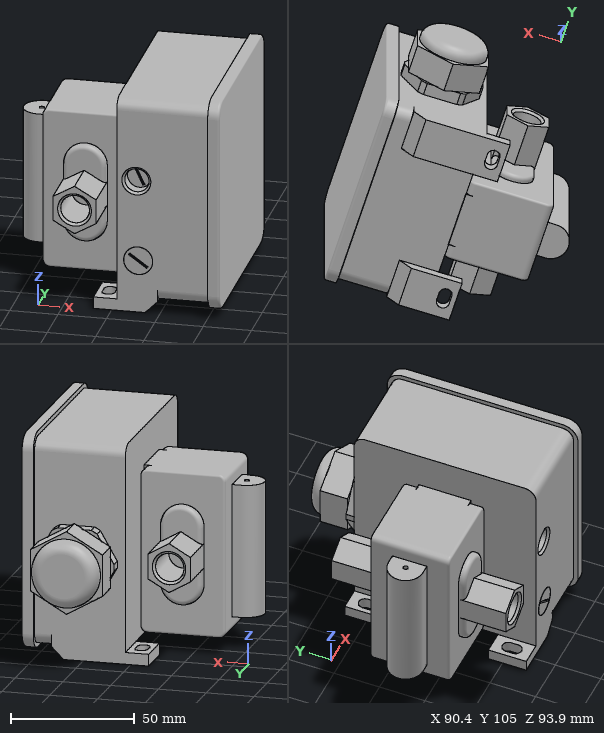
import cadquery as cq
import math


housing_depth = 38.0
housing_width = 80.0
housing_height = 86.9
housing_corner_radius = 5.0
cover_thickness = 5.0
cover_overhang = 2.0
cover_edge_radius = 1.2
side_y = housing_width / 2

foot_reach = 9.8
foot_width = 16.8
foot_thickness = 5.0
near_foot_end = 16.8
far_foot_end = 31.0
foot_slot_width = 5.2
foot_slot_length = 8.4

block_depth = 35.8
block_width = 35.0
block_height = 68.9
block_core_width = 23.0
block_corner_radius = 3.0
block_edge_radius = 1.2
block_axis_z = 36.4

bar_diameter = 15.1
bar_length = 55.6
bar_axis_x = -39.9
bar_hole_diameter = 2.0
bar_hole_depth = 5.2

port_axis_x = -17.8
port_across_flats = 17.8
port_span = 76.8
port_hole_diameter = 11.9
port_mouth_diameter = 14.0
port_hole_depth = 21.0
pad_length = 42.0
pad_height = 3.0
pad_edge_radius = 2.0

adjuster_diameter = 12.0
adjuster_bore_diameter = 10.0
screw_slot_width = 0.8
screw_slot_depth = 1.0
deep_screw_x = 8.1
deep_screw_z = 51.9
deep_screw_depth = 6.0
deep_screw_slot_length = 8.4
deep_screw_angle = -65
flush_screw_x = 8.8
flush_screw_z = 17.3
flush_screw_inset = 0.1
flush_screw_slot_length = 9.1
flush_screw_angle = -35.5

gland_x = 20.0
gland_z = 36.8
gland_across_flats = 30.1
gland_base_height = 5.0
gland_base_diameter = 33.3
gland_nut_height = 12.1
gland_cap_diameter = 28.5
gland_cap_height = 5.9
gland_cap_radius = 4.8


def box(x_range, y_range, z_range):
    """Box between pairs of limits along each axis."""
    limits = (x_range, y_range, z_range)
    sizes = [high - low for low, high in limits]
    corner = tuple(low for low, high in limits)
    return cq.Workplane("XY").box(*sizes, centered=False).translate(corner)


def plane_facing_y(x, y, z, outward):
    """Workplane at a point, facing along Y; its local Y axis is global Z."""
    return cq.Workplane(cq.Plane(origin=(x, y, z), xDir=(-outward, 0, 0), normal=(0, outward, 0)))


def hexagon(across_flats):
    """Diameter through the corners of a hexagon."""
    return across_flats / math.cos(math.radians(30))


def make_housing():
    body = box((0, housing_depth), (-side_y, side_y), (0, housing_height))
    body = body.edges("|X").fillet(housing_corner_radius)
    cover_y = side_y + cover_overhang
    cover = box(
        (housing_depth, housing_depth + cover_thickness),
        (-cover_y, cover_y),
        (-cover_overhang, housing_height + cover_overhang),
    )
    cover = cover.edges("|X").fillet(housing_corner_radius + cover_overhang)
    cover = cover.faces(">X").edges().fillet(cover_edge_radius)
    return body.union(cover)


def make_foot(side, end_x):
    """Foot with a 45 degree rear end; it also squares off the lower housing corner."""
    outer_y = side * side_y
    inner_y = side * (side_y - foot_width)
    profile = [
        (-foot_reach, -foot_thickness),
        (end_x - foot_thickness, -foot_thickness),
        (end_x, 0),
        (end_x, housing_corner_radius),
        (0, housing_corner_radius),
        (0, 0),
        (-foot_reach, 0),
    ]
    foot = cq.Workplane("XZ", origin=(0, max(outer_y, inner_y), 0))
    foot = foot.polyline(profile).close().extrude(foot_width)
    slot = (
        cq.Workplane("XY", origin=(-foot_reach / 2, (outer_y + inner_y) / 2, -foot_thickness))
        .slot2D(foot_slot_length, foot_slot_width, 90)
        .extrude(foot_thickness)
    )
    return foot.cut(slot)


def make_block():
    half_height = block_height / 2
    x_range = (-block_depth, 0)
    z_range = (block_axis_z - half_height, block_axis_z + half_height)
    shell = box(x_range, (-block_width / 2, block_width / 2), z_range)
    shell = shell.edges("|Y").fillet(block_corner_radius)
    shell = shell.faces("<Y or >Y").edges().fillet(block_edge_radius)
    core = box(x_range, (-block_core_width / 2, block_core_width / 2), z_range)
    core = core.edges("|Y and <X").fillet(block_corner_radius)
    return shell.union(core)


def make_bar():
    bottom_z = block_axis_z - bar_length / 2
    radius = bar_diameter / 2
    base = cq.Workplane("XY", origin=(bar_axis_x, 0, bottom_z))
    web = box((bar_axis_x, -block_depth), (-radius, radius), (bottom_z, bottom_z + bar_length))
    hole = base.workplane(offset=bar_length).circle(bar_hole_diameter / 2).extrude(-bar_hole_depth)
    return base.circle(radius).extrude(bar_length).union(web).cut(hole)


def make_port(side):
    """Oval pad with a hexagonal fitting standing on it."""
    wall_y = side * block_width / 2
    pad = plane_facing_y(port_axis_x, wall_y, block_axis_z, side)
    pad = pad.slot2D(pad_length, port_across_flats, 90).extrude(pad_height)
    pad = pad.faces(">Y" if side > 0 else "<Y").edges().fillet(pad_edge_radius)
    fitting = plane_facing_y(port_axis_x, wall_y, block_axis_z, side)
    fitting = fitting.transformed(rotate=(0, 0, 90)).polygon(6, hexagon(port_across_flats))
    fitting = fitting.extrude((port_span - block_width) / 2)
    return pad.union(fitting)


def make_countersunk_hole(x, y, z, side, mouth_diameter, diameter, depth):
    """Blind hole whose mouth narrows by a 45 degree cone."""
    hole = plane_facing_y(x, y, z, -side).circle(diameter / 2).extrude(depth)
    cone_height = (mouth_diameter - diameter) / 2
    cone = plane_facing_y(x, y, z, -side).circle(mouth_diameter / 2).extrude(cone_height, taper=45)
    return hole.union(cone)


def make_screw_slot(x, y, z, length, angle):
    slot = cq.Workplane("XZ", origin=(x, y, z)).transformed(rotate=(0, 0, angle))
    return slot.rect(length, screw_slot_width).extrude(-screw_slot_depth)


def make_adjusters():
    """Cutters for the sunken screw and the flush screw on the -Y wall."""
    deep_hole = make_countersunk_hole(
        deep_screw_x, -side_y, deep_screw_z, -1, adjuster_diameter, adjuster_bore_diameter, deep_screw_depth
    )
    deep_slot = make_screw_slot(
        deep_screw_x, -side_y + deep_screw_depth, deep_screw_z, deep_screw_slot_length, deep_screw_angle
    )
    flush_head = plane_facing_y(flush_screw_x, -side_y, flush_screw_z, 1)
    flush_head = flush_head.circle(adjuster_diameter / 2).extrude(flush_screw_inset)
    flush_slot = make_screw_slot(
        flush_screw_x, -side_y + flush_screw_inset, flush_screw_z, flush_screw_slot_length, flush_screw_angle
    )
    return deep_hole.union(deep_slot).union(flush_head).union(flush_slot)


def make_gland():
    corner_diameter = hexagon(gland_across_flats)
    nut_y = side_y + gland_base_height
    cap_y = nut_y + gland_nut_height
    base = plane_facing_y(gland_x, side_y, gland_z, 1)
    rounding = base.circle(gland_base_diameter / 2).extrude(gland_base_height)
    base = base.polygon(6, corner_diameter).extrude(gland_base_height).intersect(rounding)
    nut = plane_facing_y(gland_x, nut_y, gland_z, 1).transformed(rotate=(0, 0, 90))
    nut = nut.polygon(6, corner_diameter).extrude(gland_nut_height)
    cap = plane_facing_y(gland_x, cap_y, gland_z, 1).circle(gland_cap_diameter / 2).extrude(gland_cap_height)
    cap = cap.faces(">Y").edges().fillet(gland_cap_radius)
    return base.union(nut).union(cap)


def make_port_hole(side):
    """Cutter for the bore at the outer end of a port."""
    return make_countersunk_hole(
        port_axis_x,
        side * port_span / 2,
        block_axis_z,
        side,
        port_mouth_diameter,
        port_hole_diameter,
        port_hole_depth,
    )


result = make_housing()
result = result.union(make_foot(-1, near_foot_end)).union(make_foot(1, far_foot_end))
result = result.union(make_block()).union(make_bar()).union(make_gland())
for side in (-1, 1):
    result = result.union(make_port(side)).cut(make_port_hole(side))
result = result.cut(make_adjusters())